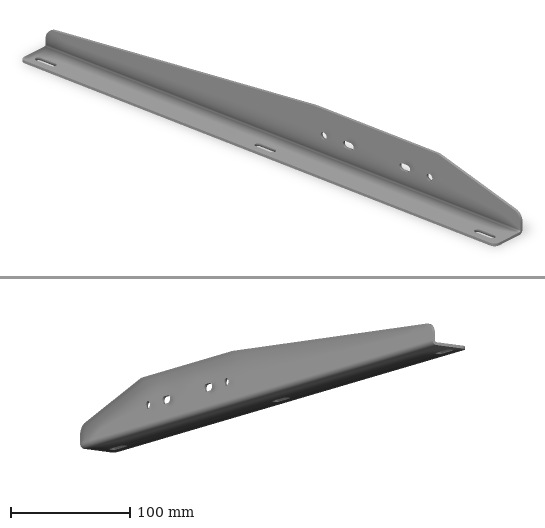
import cadquery as cq

length = 530.0
flange_depth = 35.0
web_height = 45.0
thickness = 2.5
inner_bend_radius = 1.5
outer_bend_radius = inner_bend_radius + thickness

end_height = 18.7
crest_start = 301.0
crest_end = 438.0
web_corner_radius = 10.0
flange_corner_radius = 5.0

web_hole_center_x = 369.25
web_hole_height = 20.0
round_hole_diameter = 6.5
round_hole_offset = 59.0
web_slot_length = 12.0
web_slot_width = 6.5
web_slot_offset = 31.5

flange_slot_length = 22.0
flange_slot_width = 6.0
flange_slot_end_margin = 20.0
flange_slot_edge_margin = 10.0


def folded_sheet():
    """L-shaped bent sheet along X, with rounded inside and outside of the bend."""
    return (
        cq.Workplane("YZ")
        .moveTo(0, 0)
        .lineTo(flange_depth - outer_bend_radius, 0)
        .radiusArc((flange_depth, outer_bend_radius), -outer_bend_radius)
        .lineTo(flange_depth, web_height)
        .lineTo(flange_depth - thickness, web_height)
        .lineTo(flange_depth - thickness, outer_bend_radius)
        .radiusArc((flange_depth - outer_bend_radius, thickness), inner_bend_radius)
        .lineTo(0, thickness)
        .close()
        .extrude(length)
    )


def web_outline():
    """Sloped outline of the web with rounded upper ends, as a block through the full depth."""
    block = (
        cq.Workplane("XZ")
        .polyline([
            (0, 0),
            (length, 0),
            (length, end_height),
            (crest_end, web_height),
            (crest_start, web_height),
            (0, end_height),
        ])
        .close()
        .extrude(-flange_depth)
    )
    upper_end_edges = "(<X or >X) and (not <Z)"
    return block.edges("|Y").edges(upper_end_edges).fillet(web_corner_radius)


def flange_outline():
    """Plan of the flange with rounded front corners, as a block through the full height."""
    return (
        cq.Workplane("XY")
        .rect(length, flange_depth, centered=False)
        .extrude(web_height)
        .edges("|Z and <Y")
        .fillet(flange_corner_radius)
    )


def web_holes():
    """Two round holes with two horizontal slots between them."""
    plane = cq.Workplane("XZ", origin=(web_hole_center_x, 0, web_hole_height))
    holes = (
        plane.pushPoints([(-round_hole_offset, 0), (round_hole_offset, 0)])
        .circle(round_hole_diameter / 2)
        .extrude(-flange_depth)
    )
    slots = (
        plane.pushPoints([(-web_slot_offset, 0), (web_slot_offset, 0)])
        .slot2D(web_slot_length, web_slot_width)
        .extrude(-flange_depth)
    )
    return holes.union(slots)


def flange_slots():
    """Three slots along the front edge of the flange."""
    slot_positions = (flange_slot_end_margin, length / 2, length - flange_slot_end_margin)
    return (
        cq.Workplane("XY")
        .pushPoints([(x, flange_slot_edge_margin) for x in slot_positions])
        .slot2D(flange_slot_length, flange_slot_width)
        .extrude(thickness)
    )


result = (
    folded_sheet()
    .intersect(web_outline())
    .intersect(flange_outline())
    .cut(web_holes())
    .cut(flange_slots())
)